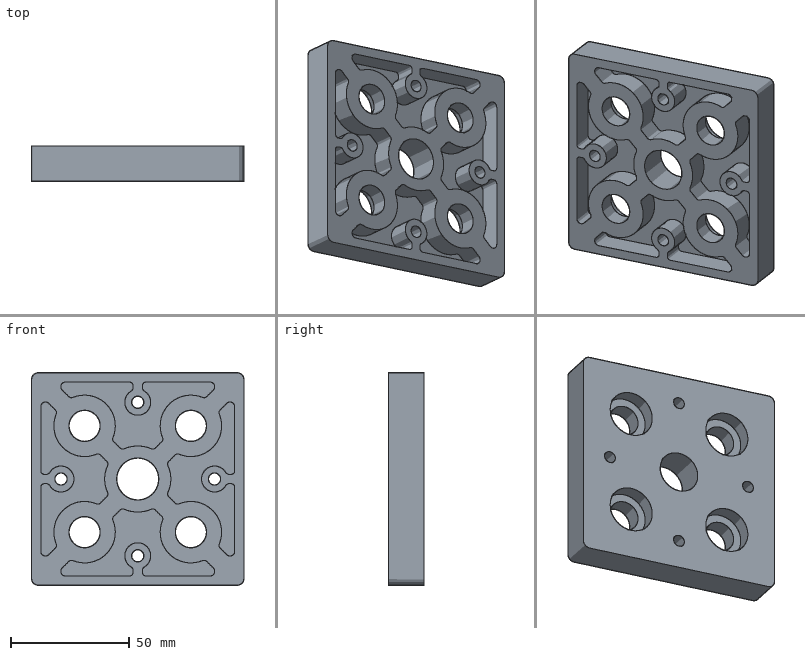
import cadquery as cq
import math

side = 89.9
thickness = 15.0
corner_radius = 3.0

wall = 4.0
floor_thickness = 4.5
pocket_corner_radius = 1.5
pocket_tip_radius = 2.0
pocket_depth = thickness - floor_thickness
pocket_field = side - 2 * wall

hub_diameter = 28.0
hub_hole_diameter = 17.6

corner_boss_offset = side / 4
corner_boss_diameter = 26.0
corner_hole_diameter = 13.0
counterbore_diameter = 19.8
counterbore_depth = 6.8

side_boss_offset = 32.45
side_boss_diameter = 11.0
side_hole_diameter = 5.0

diagonal_rib_width = 8.0
side_rib_width = 4.0

match_tolerance = 0.01

corner_centers = [(x * corner_boss_offset, z * corner_boss_offset) for x in (-1, 1) for z in (-1, 1)]
side_centers = [(side_boss_offset, 0), (-side_boss_offset, 0), (0, side_boss_offset), (0, -side_boss_offset)]


def front_plane():
    """Workplane on the pocketed face, with its normal pointing out of the plate."""
    return cq.Workplane("XZ", origin=(0, -thickness / 2, 0))


def cylinders(centers, diameter, depth):
    """Cylinders running from the pocketed face into the plate."""
    return front_plane().pushPoints(centers).circle(diameter / 2).extrude(-depth)


def rib(length, width, distance, angle):
    """Rib whose middle lies at a distance from the plate centre, along a direction in degrees."""
    bar = front_plane().center(distance, 0).rect(length, width).extrude(-pocket_depth)
    return bar.rotate((0, 0, 0), (0, 1, 0), -angle)


def is_tip(edge):
    """Whether an edge is a pocket tip, where a diagonal rib meets the outer wall."""
    tip_x = pocket_field / 2
    tip_z = tip_x - diagonal_rib_width / math.sqrt(2)
    center = edge.Center()
    return math.isclose(math.hypot(center.x, center.z), math.hypot(tip_x, tip_z), abs_tol=match_tolerance)


def make_pockets():
    """The square field left over between the bosses and the ribs, with rounded corners along Y."""
    pockets = front_plane().rect(pocket_field, pocket_field).extrude(-pocket_depth)
    pockets = pockets.cut(cylinders([(0, 0)], hub_diameter, pocket_depth))
    pockets = pockets.cut(cylinders(corner_centers, corner_boss_diameter, pocket_depth))
    pockets = pockets.cut(cylinders(side_centers, side_boss_diameter, pocket_depth))

    for angle in (45, 135):
        pockets = pockets.cut(rib(side * math.sqrt(2), diagonal_rib_width, 0, angle))

    side_rib_length = side / 2 - side_boss_offset
    side_rib_middle = side_boss_offset + side_rib_length / 2
    for angle in (0, 90, 180, 270):
        pockets = pockets.cut(rib(side_rib_length, side_rib_width, side_rib_middle, angle))

    pockets = pockets.edges("|Y").filter(lambda edge: not is_tip(edge)).fillet(pocket_corner_radius)
    return pockets.edges("|Y").filter(is_tip).fillet(pocket_tip_radius)


plate = front_plane().rect(side, side).extrude(-thickness).edges("|Y").fillet(corner_radius)
plate = plate.cut(make_pockets())

plate = plate.cut(cylinders([(0, 0)], hub_hole_diameter, thickness))
plate = plate.cut(cylinders(corner_centers, corner_hole_diameter, thickness))
plate = plate.cut(cylinders(side_centers, side_hole_diameter, thickness))

counterbores = (
    cq.Workplane("XZ", origin=(0, thickness / 2, 0))
    .pushPoints(corner_centers)
    .circle(counterbore_diameter / 2)
    .extrude(counterbore_depth)
)
result = plate.cut(counterbores)